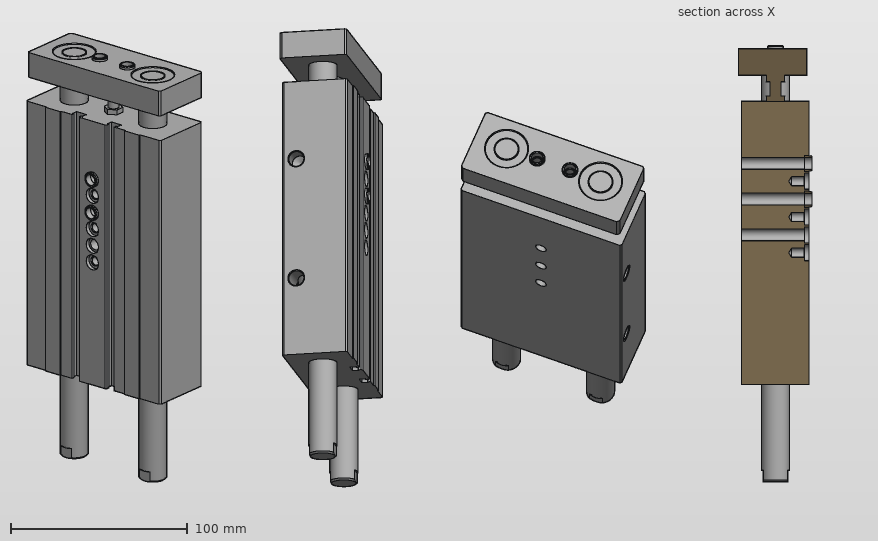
import cadquery as cq
import math

RIGHT = (1, 0, 0)
BACKWARD = (0, 1, 0)
FORWARD = (0, -1, 0)
UP = (0, 0, 1)
DOWN = (0, 0, -1)

housing_height = 160.4
plate_gap = 14.5
plate_thickness = 15.0
sleeve_protrusion = 1.7
total_height = 246.7
plate_bottom = housing_height + plate_gap
plate_top = plate_bottom + plate_thickness
rod_bottom = plate_top + sleeve_protrusion - total_height

housing_width = 98.0
housing_back = 19.2
base_front = -18.3
raised_height = 0.7
strip_slope_width = 0.7
raised_front = base_front - raised_height
rail_inner = 23.5
rail_outer = 34.0
slot_inner = 10.0
slot_outer = 15.3
slot_depth = 5.2
slot_lip = 1.7
slot_undercut = 1.0
corner_chamfer = 1.0

plate_width = 96.5
plate_back = 21.0
plate_front = -17.8
plate_back_chamfer = 1.5
rod_seat_diameter = 25.0
rod_seat_depth = 0.5
rod_seat_floor_diameter = 24.0

rod_spacing = 57.2
rod_positions = (-rod_spacing / 2, rod_spacing / 2)
rod_diameter = 16.0
rod_neck_diameter = 14.0
rod_neck_end = plate_top - rod_seat_depth
rod_flat_distance = 14.0
rod_flat_height = 6.5
rod_chamfer = 1.0
rod_neck_chamfer = 0.5

screw_diameter = 6.5
hex_diameter = 10.5
upper_hex_height = 3.7
lower_hex_height = 3.0

sleeve_outer = 9.0
sleeve_inner = 6.5
sleeve_seat_depth = 2.5
sleeve_length = sleeve_seat_depth + sleeve_protrusion
sleeve_chamfer = 0.5
plate_sleeve_spacing = 20.0
plate_sleeve_positions = (-plate_sleeve_spacing / 2, plate_sleeve_spacing / 2)

front_hole_pitch = 10.0
front_hole_count = 6
first_front_hole = housing_height - 35.3
front_hole_heights = [first_front_hole - i * front_hole_pitch for i in range(front_hole_count)]
through_hole_heights = front_hole_heights[0::2]
threaded_hole_heights = front_hole_heights[1::2]
sleeved_hole_heights = through_hole_heights[:2]
through_hole_diameter = 6.5
thread_diameter = 5.0
thread_mouth_diameter = 6.0
thread_depth = 7.5
drill_point_angle = 118.0

port_diameter = 8.6
port_mouth_diameter = 9.5
port_y = 11.0
port_depth = 9.9
upper_port_z = housing_height - 45.5
lower_port_z = housing_height - 115.5
lower_port_depth = 19.7
port_floor_radius = 14.0


def cylinder(diameter, length, start, direction):
    """Solid cylinder running from a start point along a direction."""
    solid = cq.Solid.makeCylinder(diameter / 2, length, cq.Vector(*start), cq.Vector(*direction))
    return cq.Workplane(solid)


def cone(start_diameter, end_diameter, length, start, direction):
    """Solid cone or frustum running from a start point along a direction."""
    start_radius = start_diameter / 2
    end_radius = end_diameter / 2
    solid = cq.Solid.makeCone(start_radius, end_radius, length, cq.Vector(*start), cq.Vector(*direction))
    return cq.Workplane(solid)


def countersink(mouth_diameter, hole_diameter, start, direction):
    """Cutter for a 45 degree chamfer at the mouth of a hole."""
    depth = (mouth_diameter - hole_diameter) / 2
    return cone(mouth_diameter, hole_diameter, depth, start, direction)


def drilled_hole(diameter, depth, start, direction):
    """Cutter for a blind hole that ends in a conical drill point."""
    point_length = diameter / 2 / math.tan(math.radians(drill_point_angle / 2))
    tip_base = cq.Vector(*start) + cq.Vector(*direction) * depth
    tip = cone(diameter, 0, point_length, tip_base.toTuple(), direction)
    return cylinder(diameter, depth, start, direction).union(tip)


def slot_cutter(side):
    """Full-height undercut slot on one side of the centre strip."""
    floor_y = base_front + slot_depth
    lip_y = base_front + slot_lip
    profile = [
        (slot_inner, raised_front),
        (slot_inner, lip_y),
        (slot_inner - slot_undercut, lip_y),
        (slot_inner - slot_undercut, floor_y),
        (slot_outer + slot_undercut, floor_y),
        (slot_outer + slot_undercut, lip_y),
        (slot_outer, lip_y),
        (slot_outer, raised_front),
    ]
    points = [(side * x, y) for x, y in profile]
    return cq.Workplane("XY").polyline(points).close().extrude(housing_height)


def raised_strip(x_start, x_end, slope_width):
    """Full-height strip proud of the base front face, its sides leaning inward by the slope width."""
    return (
        cq.Workplane("XY")
        .moveTo(x_start, base_front)
        .lineTo(x_start + slope_width, raised_front)
        .lineTo(x_end - slope_width, raised_front)
        .lineTo(x_end, base_front)
        .lineTo(x_end, 0)
        .lineTo(x_start, 0)
        .close()
        .extrude(housing_height)
    )


def make_profile():
    """Extruded housing with chamfered corners, raised strips and slots."""
    depth = housing_back - base_front
    body = (
        cq.Workplane("XY")
        .center(0, (housing_back + base_front) / 2)
        .rect(housing_width, depth)
        .extrude(housing_height)
        .edges("|Z")
        .chamfer(corner_chamfer)
    )
    body = body.union(raised_strip(-slot_inner, slot_inner, strip_slope_width))
    body = body.union(raised_strip(-rail_outer, -rail_inner, 0))
    body = body.union(raised_strip(rail_inner, rail_outer, 0))
    for side in (-1, 1):
        body = body.cut(slot_cutter(side))
    return body


def lower_port_cutter(start):
    """Deep port whose floor wraps around the guide rod surround."""
    hole = cylinder(port_diameter, lower_port_depth, start, RIGHT)
    surround = cylinder(2 * port_floor_radius, housing_height, (rod_positions[0], 0, 0), UP)
    return hole.cut(surround)


def make_housing():
    body = make_profile()
    for x in rod_positions:
        body = body.cut(cylinder(rod_diameter, housing_height, (x, 0, 0), UP))
    for z in front_hole_heights:
        body = body.cut(cylinder(sleeve_outer, sleeve_seat_depth, (0, raised_front, z), BACKWARD))
    for z in through_hole_heights:
        through_length = housing_back - raised_front
        body = body.cut(cylinder(through_hole_diameter, through_length, (0, raised_front, z), BACKWARD))
    for z in threaded_hole_heights:
        seat_floor = (0, raised_front + sleeve_seat_depth, z)
        body = body.cut(drilled_hole(thread_diameter, thread_depth, seat_floor, BACKWARD))
        body = body.cut(countersink(thread_mouth_diameter, thread_diameter, seat_floor, BACKWARD))
    upper_port = (-housing_width / 2, port_y, upper_port_z)
    lower_port = (-housing_width / 2, port_y, lower_port_z)
    body = body.cut(drilled_hole(port_diameter, port_depth, upper_port, RIGHT))
    body = body.cut(lower_port_cutter(lower_port))
    for port in (upper_port, lower_port):
        body = body.cut(countersink(port_mouth_diameter, port_diameter, port, RIGHT))
    return body


def hexagon(height, bottom):
    """Hexagonal collar with corners on the Y axis."""
    return (
        cq.Workplane("XY", origin=(0, 0, bottom))
        .transformed(rotate=(0, 0, 90))
        .polygon(6, hex_diameter)
        .extrude(height)
    )


def make_plate():
    """End plate together with the stop screw fixed under its middle."""
    body = (
        cq.Workplane("XY", origin=(0, (plate_back + plate_front) / 2, plate_bottom))
        .rect(plate_width, plate_back - plate_front)
        .extrude(plate_thickness)
    )
    body = body.edges("|Z and >Y").chamfer(plate_back_chamfer)
    body = body.edges("|Z and <Y").chamfer(corner_chamfer)
    for x in rod_positions:
        body = body.cut(cylinder(rod_neck_diameter, plate_thickness, (x, 0, plate_bottom), UP))
        seat_rim = (x, 0, plate_top)
        seat = cone(rod_seat_diameter, rod_seat_floor_diameter, rod_seat_depth, seat_rim, DOWN)
        body = body.cut(seat)
    for x in plate_sleeve_positions:
        body = body.cut(cylinder(sleeve_outer, sleeve_seat_depth, (x, 0, plate_top), DOWN))
        seat_floor = (x, 0, plate_top - sleeve_seat_depth)
        body = body.cut(cylinder(thread_diameter, thread_depth, seat_floor, DOWN))
        body = body.cut(countersink(thread_mouth_diameter, thread_diameter, seat_floor, DOWN))
    body = body.union(cylinder(screw_diameter, plate_gap, (0, 0, housing_height), UP))
    body = body.union(hexagon(lower_hex_height, housing_height))
    return body.union(hexagon(upper_hex_height, plate_bottom - upper_hex_height))


def make_guide_rod(x):
    """Guide rod with wrench flats at its foot and a neck that fills the plate bore."""
    shaft_length = plate_bottom - rod_bottom
    neck_length = rod_neck_end - plate_bottom
    rod = cylinder(rod_diameter, shaft_length, (x, 0, rod_bottom), UP)
    rod = rod.faces("<Z").chamfer(rod_chamfer)
    flats = (
        cq.Workplane("XY", origin=(x, 0, rod_bottom))
        .rect(2 * rod_diameter, 2 * rod_diameter)
        .rect(2 * rod_diameter, rod_flat_distance)
        .extrude(rod_flat_height)
    )
    rod = rod.cut(flats)
    neck = cylinder(rod_neck_diameter, neck_length, (x, 0, plate_bottom), UP)
    return rod.union(neck.faces(">Z").chamfer(rod_neck_chamfer))


def make_sleeve(seat_floor, direction):
    """Centring sleeve standing on its seat floor and pointing outward."""
    sleeve = cylinder(sleeve_outer, sleeve_length, (0, 0, 0), UP)
    sleeve = sleeve.faces(">Z").chamfer(sleeve_chamfer)
    sleeve = sleeve.cut(cylinder(sleeve_inner, sleeve_length, (0, 0, 0), UP))
    location = cq.Plane(origin=seat_floor, normal=direction).location
    return cq.Workplane(sleeve.val().moved(location))


housing = make_housing()
plate = make_plate()
guide_rods = [make_guide_rod(x) for x in rod_positions]
front_sleeves = [
    make_sleeve((0, raised_front + sleeve_seat_depth, z), FORWARD) for z in sleeved_hole_heights
]
plate_sleeves = [
    make_sleeve((x, 0, plate_top - sleeve_seat_depth), UP) for x in plate_sleeve_positions
]

bodies = [housing, plate, *guide_rods, *front_sleeves, *plate_sleeves]
result = cq.Compound.makeCompound([body.val() for body in bodies])